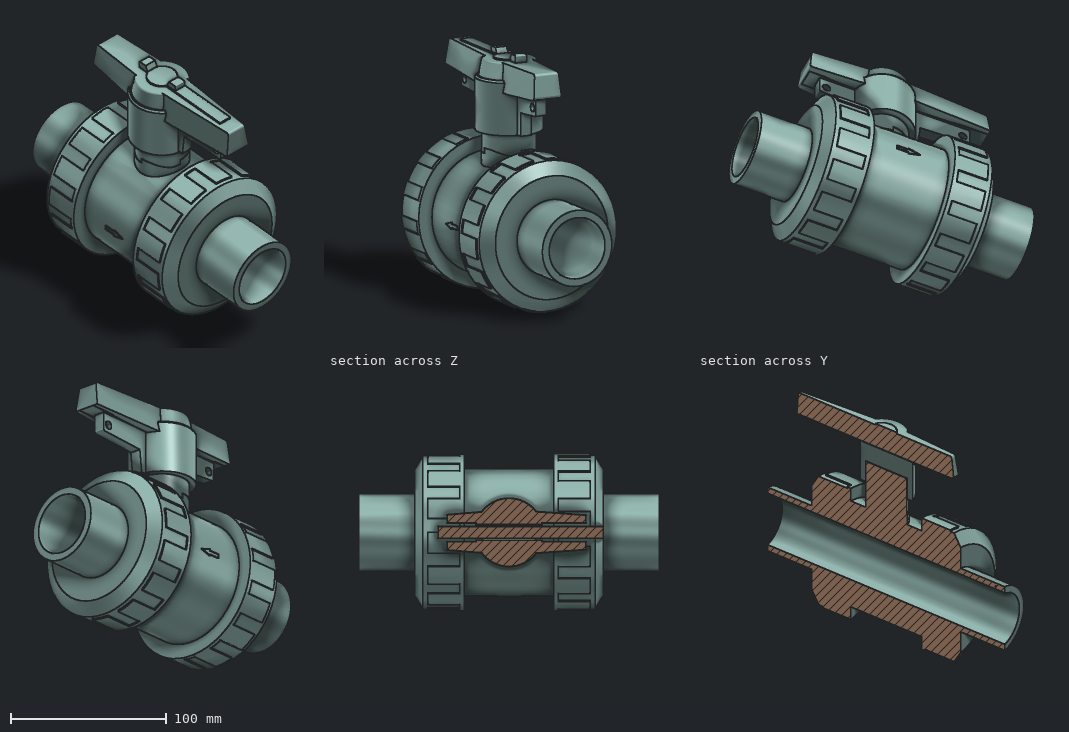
import cadquery as cq
import math


length = 193.0
pipe_diameter = 50.0
bore_diameter = 40.1
body_diameter = 81.8
arrow_half_length = 8.1
arrow_tail_half_width = 1.4
arrow_head_half_width = 2.3
arrow_height = 0.5

nut_diameter = 101.0
nut_face_diameter = 81.0
nut_inner_x = 28.5
nut_rim_x = 31.7
nut_teeth_x = 52.1
nut_chamfer_x = 55.2
nut_outer_x = 60.6
tooth_count = 14
tooth_height = 1.0
tooth_angle = 15.5
tooth_phase = 5.1

stem_radius = 17.5
stem_top = 75.7
collar_radius = 17.8
cam_low = 45.4
cam_high = 48.8
cam_flat_angle = 22.0

hub_radius = 22.0
hub_bottom = 59.8
hub_top = 95.5
hub_chamfer = 1.4
slot_width = 10.0
dome_base_radius = 19.7
dome_top_radius = 17.5
dome_fillet = 1.4

lever_left = -55.2
lever_right = 73.0
lever_top = 106.5
lever_hub_bottom = 87.8
lever_end_bottom = 89.5
lever_left_lean = 2.0
lever_right_lean = 1.4
lever_fillet = 2.0
lever_bottom_half_widths = (10.2, 14.7, 9.6)
lever_top_half_widths = (8.5, 11.8, 7.0)
groove_width = 12.0

plate_thickness = 7.7
plate_left = -45.5
plate_right = 60.6
plate_left_leg = -24.1
plate_right_leg = 24.0
plate_right_shoulder = 25.7
plate_shoulder_z = 75.0
plate_tip_z = 76.8
plate_fillet = 1.5
lock_hole_diameter = 5.5
lock_hole_z = 82.0
lock_hole_left = -40.7
lock_hole_right = 55.8

pad_top = 107.5
disc_radius = 10.0
strip_width = 8.9
tab_width = 8.1
tab_top = 111.4
tab_outer_x = 17.2
tab_crest_x = 11.2
tab_inner_x = 9.3
tab_fillet = 0.8


def x_cylinder(diameter, cylinder_length):
    """Cylinder on the pipe axis, centred on the origin."""
    return cq.Workplane("YZ").circle(diameter / 2).extrude(cylinder_length / 2, both=True)


def z_cylinder(radius, bottom, top):
    """Cylinder on the stem axis."""
    return cq.Workplane("XY").workplane(offset=bottom).circle(radius).extrude(top - bottom)


def side_plate(points, width):
    """Outline in X and Z, extruded evenly to both sides of the XZ plane."""
    return cq.Workplane("XZ").polyline(points).close().extrude(width / 2, both=True)


def make_nut():
    """Union nut on the +X side: full rim, raised grip teeth and a chamfered outer end."""
    outer = nut_diameter / 2
    root = outer - tooth_height
    face = nut_face_diameter / 2
    profile = [
        (nut_inner_x, 0),
        (nut_inner_x, outer),
        (nut_teeth_x, outer),
        (nut_teeth_x, root),
        (nut_chamfer_x, root),
        (nut_outer_x, face),
        (nut_outer_x, 0),
    ]
    nut = cq.Workplane("XY").polyline(profile).close().revolve(360, (0, 0), (1, 0))
    tooth_pitch = 360 / tooth_count
    gap = (
        cq.Workplane("XY")
        .moveTo(nut_rim_x, root)
        .lineTo(nut_teeth_x, root)
        .lineTo(nut_teeth_x, nut_diameter)
        .lineTo(nut_rim_x, nut_diameter)
        .close()
        .revolve(tooth_pitch - tooth_angle, (0, 0), (1, 0))
    )
    for index in range(tooth_count):
        angle = tooth_phase + tooth_angle / 2 + index * tooth_pitch
        nut = nut.cut(gap.rotate((0, 0, 0), (1, 0, 0), angle))
    return nut


def make_arrow():
    """Raised flow arrow pointing to +X on both sides of the body."""
    outline = [
        (-arrow_half_length, -arrow_tail_half_width),
        (0, -arrow_tail_half_width),
        (0, -arrow_head_half_width),
        (arrow_half_length, 0),
        (0, arrow_head_half_width),
        (0, arrow_tail_half_width),
        (-arrow_half_length, arrow_tail_half_width),
    ]
    return side_plate(outline, body_diameter + 2 * arrow_height)


def make_collar():
    """Foot of the stem; each quarter has a high flat, a ramp down and a low flat."""
    collar = z_cylinder(collar_radius, 0, cam_high)
    ramp_x = collar_radius * math.sin(math.radians(45 - cam_flat_angle))
    removed_profile = [
        (-ramp_x, cam_high),
        (ramp_x, cam_low),
        (hub_radius, cam_low),
        (hub_radius, cam_high),
    ]
    removed = cq.Workplane("XZ").polyline(removed_profile).close().extrude(hub_radius)
    quarter = (
        cq.Workplane("XY")
        .rect(hub_radius, -hub_radius, centered=False)
        .extrude(cam_high)
        .rotate((0, 0, 0), (0, 0, 1), -45)
    )
    notch = quarter.intersect(removed)
    for index in range(4):
        collar = collar.cut(notch.rotate((0, 0, 0), (0, 0, 1), 45 + 90 * index))
    return collar


def make_hub():
    """Round hub with a chamfered top edge and the tapered dome above it."""
    hub = z_cylinder(hub_radius, hub_bottom, hub_top).faces(">Z").chamfer(hub_chamfer)
    dome_profile = [
        (0, hub_top),
        (dome_base_radius, hub_top),
        (dome_top_radius, lever_top),
        (0, lever_top),
    ]
    dome = cq.Workplane("XZ").polyline(dome_profile).close().revolve(360, (0, 0), (0, 1))
    return hub.union(dome.faces(">Z").edges().fillet(dome_fillet))


def lever_section(half_widths):
    """Closed outline in X and Y, widest at the stem axis."""
    left, middle, right = half_widths
    return [
        (lever_left, -left),
        (0, -middle),
        (lever_right, -right),
        (lever_right, right),
        (0, middle),
        (lever_left, left),
    ]


def make_lever():
    """Tapered grip: drafted sides cut to the side outline with rounded ends."""
    flanks = (
        cq.Workplane("XY")
        .workplane(offset=lever_hub_bottom)
        .polyline(lever_section(lever_bottom_half_widths))
        .close()
        .workplane(offset=lever_top - lever_hub_bottom)
        .polyline(lever_section(lever_top_half_widths))
        .close()
        .loft(ruled=True)
    )
    outline = [
        (lever_left, lever_end_bottom),
        (lever_left + lever_left_lean, lever_top),
        (lever_right - lever_right_lean, lever_top),
        (lever_right, lever_end_bottom),
        (hub_radius, lever_hub_bottom),
        (-hub_radius, lever_hub_bottom),
    ]
    sides = side_plate(outline, 4 * hub_radius)
    sides = sides.edges("|Y").edges("<X or >Z").fillet(lever_fillet)
    return flanks.intersect(sides)


def make_latch_plate():
    """Flat plate with a wide upper part and a leg down to the bottom of the hub."""
    outline = [
        (plate_left_leg, hub_bottom),
        (plate_left_leg, plate_shoulder_z),
        (plate_left, plate_tip_z),
        (plate_left, hub_top),
        (plate_right, hub_top),
        (plate_right, plate_tip_z),
        (plate_right_shoulder, plate_shoulder_z),
        (plate_right_leg, hub_bottom),
    ]
    plate = side_plate(outline, plate_thickness)
    tip_corners = cq.selectors.BoxSelector(
        (plate_left - plate_fillet, -plate_thickness, plate_tip_z - plate_fillet / 2),
        (plate_right + plate_fillet, plate_thickness, plate_tip_z + plate_fillet / 2),
    )
    plate = plate.edges("|Y").edges(tip_corners).fillet(plate_fillet)
    holes = (
        cq.Workplane("XZ")
        .pushPoints([(lock_hole_left, lock_hole_z), (lock_hole_right, lock_hole_z)])
        .circle(lock_hole_diameter / 2)
        .extrude(plate_thickness, both=True)
    )
    return plate.cut(holes)


def make_top_details():
    """Centre disc, indicator strip towards +X and a pair of stop tabs."""
    details = z_cylinder(disc_radius, hub_top, pad_top)
    strip = (
        cq.Workplane("XY")
        .workplane(offset=hub_top)
        .center(plate_right / 2, 0)
        .rect(plate_right, strip_width)
        .extrude(pad_top - hub_top)
    )
    tab_outline = [
        (tab_outer_x, hub_top),
        (tab_outer_x, tab_top),
        (tab_crest_x, tab_top),
        (tab_inner_x, pad_top),
        (tab_inner_x, hub_top),
    ]
    tab = side_plate(tab_outline, tab_width)
    tab = tab.edges("|Y").edges(">Z").edges(">X").fillet(tab_fillet)
    return details.union(strip).union(tab).union(tab.mirror("YZ"))


def make_handle():
    """Hub and lever, opened below for the latch plate, with the plate and top details."""
    hub_slot = (
        cq.Workplane("XY")
        .workplane(offset=hub_bottom)
        .rect(2 * hub_radius, slot_width)
        .extrude(lever_end_bottom - hub_bottom)
    )
    lever_groove = (
        cq.Workplane("XY")
        .workplane(offset=lever_hub_bottom)
        .rect(2 * lever_right, groove_width)
        .extrude(lever_end_bottom - lever_hub_bottom)
    )
    hub = make_hub().cut(hub_slot)
    lever = make_lever().cut(lever_groove).cut(hub_slot)
    return hub.union(lever).union(make_latch_plate()).union(make_top_details())


nut = make_nut()
result = (
    x_cylinder(pipe_diameter, length)
    .union(x_cylinder(body_diameter, 2 * nut_rim_x))
    .union(make_arrow())
    .union(nut)
    .union(nut.rotate((0, 0, 0), (0, 0, 1), 180))
    .union(make_collar())
    .union(z_cylinder(stem_radius, 0, stem_top))
    .union(make_handle())
    .cut(x_cylinder(bore_diameter, length))
)